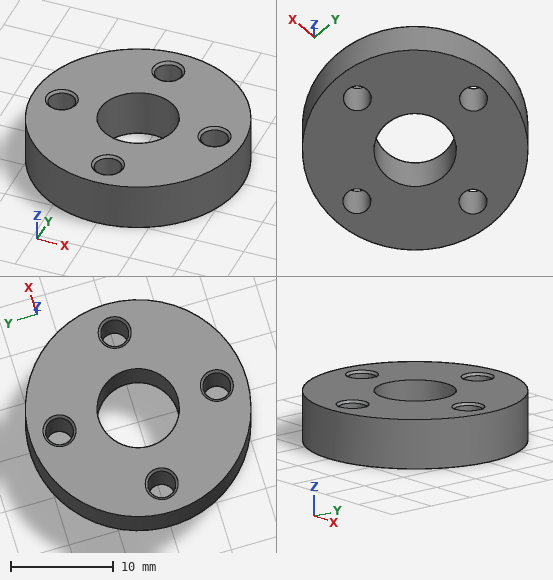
import cadquery as cq

outer_diameter = 22.0
thickness = 5.0
bore_diameter = 8.0

hole_count = 4
bolt_circle_diameter = 16.0
hole_diameter = 2.7
chamfer_diameter = 3.21
chamfer_depth = (chamfer_diameter - hole_diameter) / 2


def make_flange():
    """Flat ring resting on Z = 0, with its bore through the centre."""
    return (
        cq.Workplane("XY")
        .circle(outer_diameter / 2)
        .circle(bore_diameter / 2)
        .extrude(thickness)
    )


def make_bolt_hole():
    """Cutter for one through hole with a chamfered entry at the top face."""
    drill = cq.Workplane("XY").circle(hole_diameter / 2).extrude(thickness)
    entry = cq.Solid.makeCone(
        hole_diameter / 2,
        chamfer_diameter / 2,
        chamfer_depth,
        pnt=cq.Vector(0, 0, thickness - chamfer_depth),
    )
    return drill.union(cq.Workplane(entry))


result = make_flange()
bolt_hole = make_bolt_hole().translate((bolt_circle_diameter / 2, 0, 0))
for index in range(hole_count):
    angle = index * 360 / hole_count
    result = result.cut(bolt_hole.rotate((0, 0, 0), (0, 0, 1), angle))